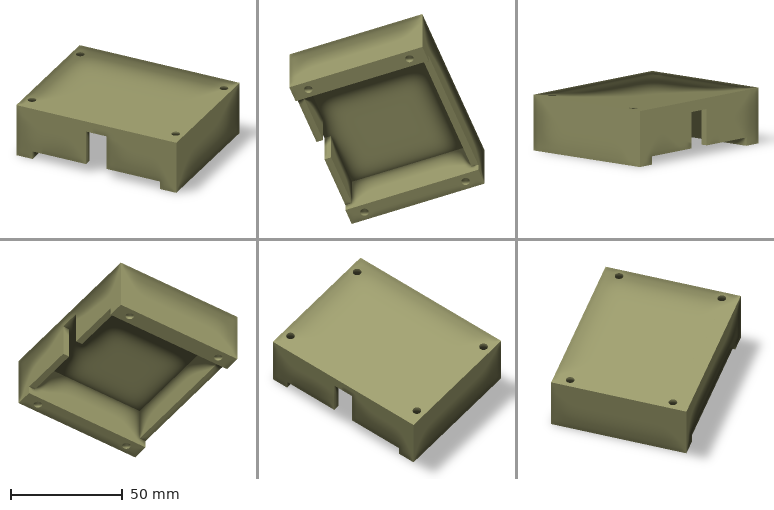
import cadquery as cq

LENGTH_X = 80.01
WIDTH_Y = 63.5
HEIGHT_Z = 25.4

END_WALL = 8.128
SIDE_WALL = 3.175
ROOF = 5.08

FOOT_HEIGHT = 3.81

SLOT_WIDTH = 10.16

HOLE_DIAMETER = 3.85
HOLE_SPACING_X = LENGTH_X - END_WALL
HOLE_SPACING_Y = 48.26

CAVITY_LENGTH = LENGTH_X - 2 * END_WALL
CAVITY_WIDTH = WIDTH_Y - 2 * SIDE_WALL
CAVITY_HEIGHT = HEIGHT_Z - ROOF


def box_on_base(length, width, height):
    """Box centred on X and Y with its bottom face at Z = 0."""
    return cq.Workplane("XY").box(length, width, height, centered=(True, True, False))


def underside_cavity():
    return box_on_base(CAVITY_LENGTH, CAVITY_WIDTH, CAVITY_HEIGHT)


def wall_clearance():
    """Full-width channel that leaves the end blocks standing as feet."""
    return box_on_base(CAVITY_LENGTH, WIDTH_Y, FOOT_HEIGHT)


def front_slot():
    """Opening through the front wall only, reaching up to the roof."""
    slot_center_y = (SIDE_WALL - WIDTH_Y) / 2
    return box_on_base(SLOT_WIDTH, SIDE_WALL, CAVITY_HEIGHT).translate((0, slot_center_y, 0))


def corner_holes():
    return (
        cq.Workplane("XY")
        .rarray(HOLE_SPACING_X, HOLE_SPACING_Y, 2, 2)
        .circle(HOLE_DIAMETER / 2)
        .extrude(HEIGHT_Z)
    )


result = (
    box_on_base(LENGTH_X, WIDTH_Y, HEIGHT_Z)
    .cut(underside_cavity())
    .cut(wall_clearance())
    .cut(front_slot())
    .cut(corner_holes())
)